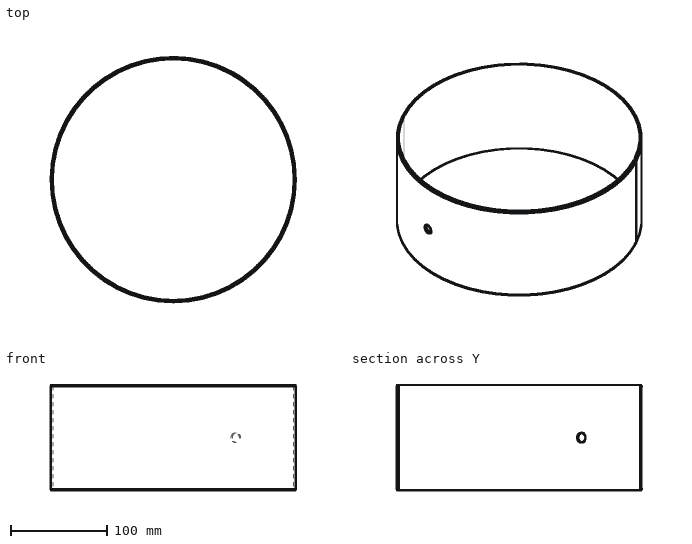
import cadquery as cq

outer_diameter = 255.0
height = 110.0
wall = 2.3
bevel_height = 1.8
bevel_depth = 0.8
slit_width = 2.0
hole_diameter = 10.0
hole_angle = 59.0

outer_radius = outer_diameter / 2
inner_radius = outer_radius - wall
rim_radius = outer_radius - bevel_depth


def bevelled_band():
    """Thin ring on Z = 0 with a steep bevel around both outer rims."""
    wall_section = [
        (inner_radius, 0),
        (rim_radius, 0),
        (outer_radius, bevel_height),
        (outer_radius, height - bevel_height),
        (rim_radius, height),
        (inner_radius, height),
    ]
    return (
        cq.Workplane("XZ")
        .polyline(wall_section)
        .close()
        .revolve(360, (0, 0, 0), (0, 1, 0))
    )


def slit_cutter():
    """Full-height cut through the -X side, with one face on the XZ plane."""
    slit_length = 4 * wall
    return (
        cq.Workplane("XY", origin=(-outer_radius, 0, 0))
        .box(slit_length, slit_width, height, centered=(True, False, False))
    )


def hole_cutter():
    """Radial pin through one side of the wall at mid-height."""
    return (
        cq.Workplane("YZ", origin=(0, 0, height / 2))
        .circle(hole_diameter / 2)
        .extrude(outer_diameter)
        .rotate((0, 0, 0), (0, 0, 1), hole_angle)
    )


result = bevelled_band().cut(slit_cutter()).cut(hole_cutter())